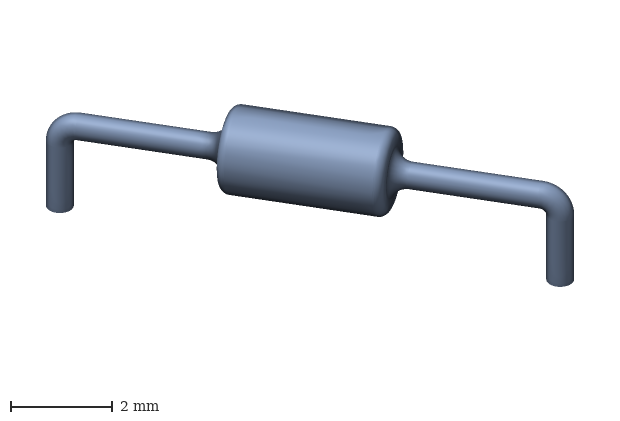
import cadquery as cq

span = 10.71
lead_diameter = 0.55
lead_drop = 1.92
bend_radius = 0.39

body_diameter = 1.8
body_length = 3.4
body_edge_radius = 0.19

collar_length = 0.35
collar_diameter = 1.04

lead_radius = lead_diameter / 2
body_radius = body_diameter / 2
body_end = body_length / 2
collar_radius = collar_diameter / 2
collar_tip = body_end + collar_length
flare_rise = collar_radius - lead_radius
flare_radius = (collar_length**2 + flare_rise**2) / (2 * flare_rise)
leg_x = span / 2 - lead_radius


def make_body():
    """Cylindrical body with rounded end rims."""
    cylinder = cq.Workplane("YZ", origin=(-body_end, 0, 0)).circle(body_radius).extrude(body_length)
    return cylinder.edges("%CIRCLE").fillet(body_edge_radius)


def make_collar():
    """Concave flare on the +X end, tangent to the lead."""
    return (
        cq.Workplane("XY")
        .moveTo(0, 0)
        .lineTo(0, collar_radius)
        .lineTo(body_end, collar_radius)
        .radiusArc((collar_tip, lead_radius), -flare_radius)
        .lineTo(collar_tip, 0)
        .close()
        .revolve(360, (0, 0, 0), (1, 0, 0))
    )


def make_lead():
    """Round wire running out along +X and bending down to its tip."""
    path = (
        cq.Workplane("XZ")
        .lineTo(leg_x - bend_radius, 0)
        .tangentArcPoint((leg_x, -bend_radius), relative=False)
        .lineTo(leg_x, -lead_drop)
    )
    return cq.Workplane("YZ").circle(lead_radius).sweep(path)


half_lead = make_lead().union(make_collar())
result = make_body().union(half_lead).union(half_lead.mirror("YZ"))